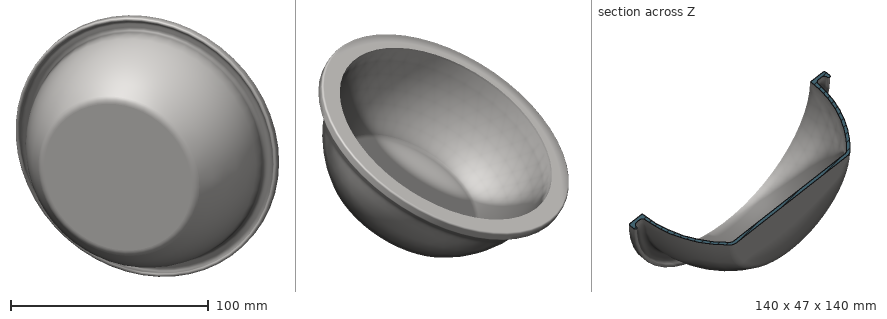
import cadquery as cq
import math


HEIGHT = 47.0
WALL = 2.0
RIM_RADIUS = 70.0
RIM_DEPTH = 5.0
RIM_EDGE_RADIUS = 1.0
BOWL_RADIUS = 62.0
SPHERE_DEPTH = 1.0
BASE_FILLET = 5.0

SPHERE_Y = -SPHERE_DEPTH
INNER_RADIUS = BOWL_RADIUS - WALL
FLOOR_Y = WALL - HEIGHT
FLANGE_Y = -WALL
LIP_TIP_RADIUS = WALL / 2
LIP_INNER_RADIUS = RIM_RADIUS - WALL
LIP_TIP_Y = LIP_TIP_RADIUS - RIM_DEPTH

RIM_FILLET = FLANGE_Y - LIP_TIP_Y

BASE_FILLET_Y = BASE_FILLET - HEIGHT
BASE_FLAT_RADIUS = math.sqrt((BOWL_RADIUS - BASE_FILLET) ** 2 - (BASE_FILLET_Y - SPHERE_Y) ** 2)

NECK_FILLET_Y = FLANGE_Y - RIM_FILLET
NECK_FILLET_RADIUS = math.sqrt((BOWL_RADIUS + RIM_FILLET) ** 2 - (NECK_FILLET_Y - SPHERE_Y) ** 2)


def point_on_sphere(radius, toward_x, toward_y):
    """Point at the given sphere radius, on the ray from the sphere centre through a target."""
    scale = radius / math.hypot(toward_x, toward_y - SPHERE_Y)
    return (toward_x * scale, SPHERE_Y + (toward_y - SPHERE_Y) * scale)


def make_profile():
    """Half section of the wall: x is the distance from the axis, y is the height."""
    inner_tangent = point_on_sphere(INNER_RADIUS, BASE_FLAT_RADIUS, BASE_FILLET_Y)
    outer_tangent = point_on_sphere(BOWL_RADIUS, BASE_FLAT_RADIUS, BASE_FILLET_Y)
    neck_tangent = point_on_sphere(BOWL_RADIUS, NECK_FILLET_RADIUS, NECK_FILLET_Y)

    profile = (
        cq.Workplane("XY")
        .moveTo(0, FLOOR_Y)
        .lineTo(BASE_FLAT_RADIUS, FLOOR_Y)
        .tangentArcPoint(inner_tangent, relative=False)
        .tangentArcPoint((INNER_RADIUS, SPHERE_Y), relative=False)
        .lineTo(INNER_RADIUS, 0)
    )
    profile = (
        profile.lineTo(RIM_RADIUS - RIM_EDGE_RADIUS, 0)
        .tangentArcPoint((RIM_RADIUS, -RIM_EDGE_RADIUS), relative=False)
        .lineTo(RIM_RADIUS, LIP_TIP_Y)
        .tangentArcPoint((RIM_RADIUS - LIP_TIP_RADIUS, -RIM_DEPTH), relative=False)
        .tangentArcPoint((LIP_INNER_RADIUS, LIP_TIP_Y), relative=False)
        .tangentArcPoint((LIP_INNER_RADIUS - RIM_FILLET, FLANGE_Y), relative=False)
        .lineTo(NECK_FILLET_RADIUS, FLANGE_Y)
        .tangentArcPoint(neck_tangent, relative=False)
    )
    return (
        profile.tangentArcPoint(outer_tangent, relative=False)
        .tangentArcPoint((BASE_FLAT_RADIUS, -HEIGHT), relative=False)
        .lineTo(0, -HEIGHT)
        .close()
    )


result = make_profile().revolve(360, (0, 0, 0), (0, 1, 0), clean=False)